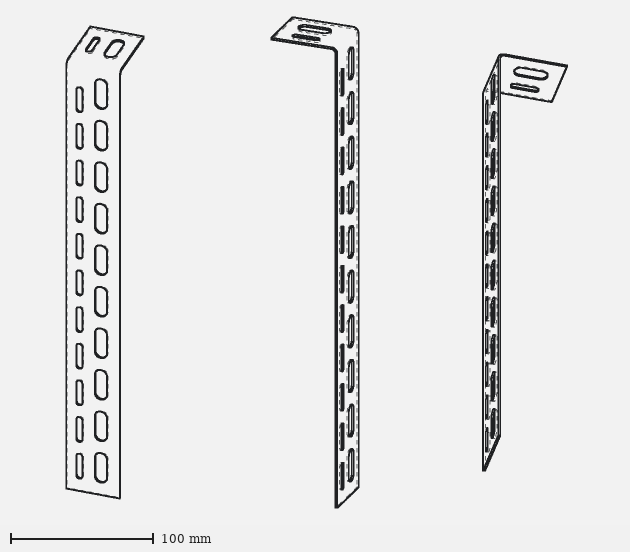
import cadquery as cq

width = 40.0
flange_depth = 50.0
height = 350.0

thickness = 1.5
outer_bend_radius = 4.5
inner_bend_radius = outer_bend_radius - thickness

wide_slot_length = 24.0
wide_slot_width = 9.0
wide_slot_x = 6.0
wide_slot_count = 10
wide_slot_span = 306.0

narrow_slot_length = 20.3
narrow_slot_width = 4.5
narrow_slot_x = -10.0
narrow_slot_count = 11
narrow_slot_span = 300.0

foot_margin = 10.0

flange_slot_y = 27.5


def bent_sheet():
    """Vertical strap whose top is bent back into a horizontal flange."""
    profile = (
        cq.Workplane("YZ")
        .moveTo(0, 0)
        .lineTo(0, height)
        .lineTo(flange_depth, height)
        .lineTo(flange_depth, height - thickness)
        .lineTo(thickness, height - thickness)
        .lineTo(thickness, 0)
        .close()
    )
    sheet = profile.extrude(width / 2, both=True)
    outer_corner = cq.selectors.NearestToPointSelector((0, 0, height))
    inner_corner = cq.selectors.NearestToPointSelector((0, thickness, height - thickness))
    sheet = sheet.edges("|X").edges(inner_corner).fillet(inner_bend_radius)
    return sheet.edges("|X").edges(outer_corner).fillet(outer_bend_radius)


def strap_slots(x, length, slot_width, span, count):
    """Column of upright slots through the strap, counted up from its foot."""
    pitch = span / (count - 1)
    lowest_centre = foot_margin + length / 2
    centres = [(x, lowest_centre + i * pitch) for i in range(count)]
    return (
        cq.Workplane("XZ", origin=(0, thickness, 0))
        .pushPoints(centres)
        .slot2D(length, slot_width, 90)
        .extrude(thickness)
    )


def flange_slot(x, length, slot_width):
    """One slot through the flange, running along Y."""
    return (
        cq.Workplane("XY", origin=(0, 0, height - thickness))
        .center(x, flange_slot_y)
        .slot2D(length, slot_width, 90)
        .extrude(thickness)
    )


wide_strap_slots = strap_slots(
    wide_slot_x, wide_slot_length, wide_slot_width, wide_slot_span, wide_slot_count
)
narrow_strap_slots = strap_slots(
    narrow_slot_x, narrow_slot_length, narrow_slot_width, narrow_slot_span, narrow_slot_count
)

result = (
    bent_sheet()
    .cut(wide_strap_slots)
    .cut(narrow_strap_slots)
    .cut(flange_slot(wide_slot_x, wide_slot_length, wide_slot_width))
    .cut(flange_slot(narrow_slot_x, narrow_slot_length, narrow_slot_width))
)